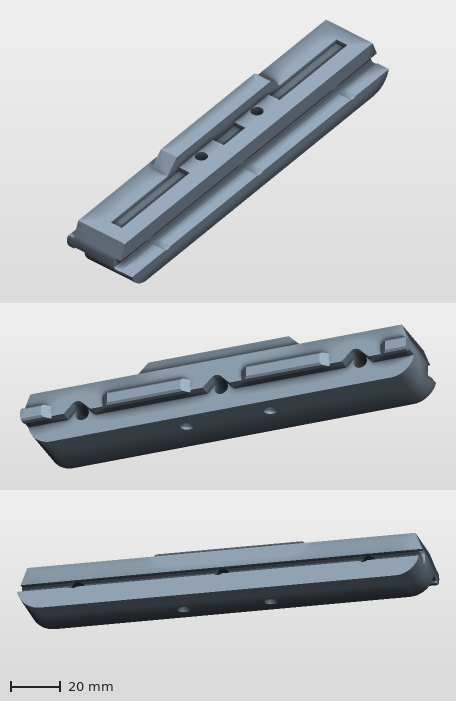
import cadquery as cq
import math

LENGTH = 166.5
HALF_LENGTH = LENGTH / 2
TOP_Z = 20.0
END_RADIUS = 10.0
END_TOP_INSET = 3.2
END_EDGE_Z = 14.3

WIDTH = 33.0
TAB_REACH = 3.2
BODY_LEFT = TAB_REACH
BODY_RIGHT = 27.0
STEP_RIGHT = 8.7
STEP_Z = 8.3
SHELF_Z = 7.7

TAB_BOTTOM_Z = 7.2
TAB_TOP_Z = 12.8
TAB_CHAMFER = 0.8
TAB_GAP = 22.0

BORE_DIAMETER = 5.8
BORE_Z = 10.0
BORE_PITCH = 60.0
BORE_CENTERS = [-BORE_PITCH, 0.0, BORE_PITCH]

RIDGE_LEFT = 6.0
RIDGE_RIGHT = 14.1
RIDGE_HEIGHT = 6.0
RIDGE_TOP_LENGTH = 60.6

HOLE_DIAMETER = 5.3
HOLE_X = 17.0
HOLE_Y = 18.0
SLOT_GAP = 22.0
SLOT_LEFT = RIDGE_RIGHT
SLOT_RIGHT = 19.8
SLOT_DEPTH = 2.5
SLOT_FLOOR_RIGHT = SLOT_RIGHT - SLOT_DEPTH
SLOT_FLOOR_CHAMFER = 0.42
LONG_SLOT_LENGTH = 44.0


def prism_along_x(outline, x_start, x_end):
    """Extrude a closed (y, z) outline from x_start to x_end."""
    plane = cq.Workplane("YZ", origin=(x_start, 0, 0))
    return plane.polyline(outline).close().extrude(x_end - x_start)


def prism_along_y(outline, y_start, y_end):
    """Extrude a closed (x, z) outline from y_start to y_end."""
    plane = cq.Workplane("XZ", origin=(0, y_end, 0))
    return plane.polyline(outline).close().extrude(y_end - y_start)


def side_profile():
    """Full-width bar with rounded lower ends and sloped upper ends."""
    arc_center_y = HALF_LENGTH - END_RADIUS
    edge_rise = END_EDGE_Z - END_RADIUS
    edge_y = arc_center_y + math.sqrt(END_RADIUS**2 - edge_rise**2)
    top_y = HALF_LENGTH - END_TOP_INSET
    return (
        cq.Workplane("YZ")
        .moveTo(-arc_center_y, 0)
        .lineTo(arc_center_y, 0)
        .threePointArc((HALF_LENGTH, END_RADIUS), (edge_y, END_EDGE_Z))
        .lineTo(top_y, TOP_Z)
        .lineTo(-top_y, TOP_Z)
        .lineTo(-edge_y, END_EDGE_Z)
        .threePointArc((-HALF_LENGTH, END_RADIUS), (-arc_center_y, 0))
        .close()
        .extrude(WIDTH)
    )


def tab_section(x_tip):
    """Tab outline in (x, z), chamfered at the tip; also the shape of the groove."""
    x_base = x_tip + TAB_REACH
    return [
        (x_base, TAB_BOTTOM_Z),
        (x_base, TAB_TOP_Z),
        (x_tip + TAB_CHAMFER, TAB_TOP_Z),
        (x_tip, TAB_TOP_Z - TAB_CHAMFER),
        (x_tip, TAB_BOTTOM_Z + TAB_CHAMFER),
        (x_tip + TAB_CHAMFER, TAB_BOTTOM_Z),
    ]


def body():
    """Stepped cross-section running the whole length."""
    section = [
        (STEP_RIGHT, 0),
        (WIDTH, 0),
        (WIDTH, SHELF_Z),
        (BODY_RIGHT, SHELF_Z),
        (BODY_RIGHT, TOP_Z),
        (BODY_LEFT, TOP_Z),
        (BODY_LEFT, STEP_Z),
        (STEP_RIGHT, STEP_Z),
    ]
    groove = prism_along_y(tab_section(BODY_RIGHT - TAB_REACH), -HALF_LENGTH, HALF_LENGTH)
    return prism_along_y(section, -HALF_LENGTH, HALF_LENGTH).cut(groove)


def tabs():
    """Continuous rail, broken at each bore by a gap with 45 degree ends."""
    rail = prism_along_y(tab_section(0), -HALF_LENGTH, HALF_LENGTH)
    half_base_gap = TAB_GAP / 2
    half_tip_gap = half_base_gap + TAB_REACH
    for y in BORE_CENTERS:
        gap = (
            cq.Workplane("XY")
            .polyline([
                (0, y - half_tip_gap),
                (TAB_REACH, y - half_base_gap),
                (TAB_REACH, y + half_base_gap),
                (0, y + half_tip_gap),
            ])
            .close()
            .extrude(TOP_Z)
        )
        rail = rail.cut(gap)
    return rail


def bore_cuts():
    """Cross bores, each with a 45 degree flared notch over the lower step."""
    radius = BORE_DIAMETER / 2
    tangent = radius * math.sin(math.radians(45))
    flare = tangent + (BORE_Z + tangent - STEP_Z)
    centers = [(y, BORE_Z) for y in BORE_CENTERS]
    cuts = cq.Workplane("YZ").pushPoints(centers).circle(radius).extrude(WIDTH)
    for y in BORE_CENTERS:
        notch = [
            (y - flare, STEP_Z),
            (y + flare, STEP_Z),
            (y + tangent, BORE_Z + tangent),
            (y - tangent, BORE_Z + tangent),
        ]
        cuts = cuts.union(prism_along_x(notch, BODY_LEFT, STEP_RIGHT))
    return cuts


def ridge():
    """Raised bar with 45 degree ramps at both ends."""
    half_top = RIDGE_TOP_LENGTH / 2
    half_base = half_top + RIDGE_HEIGHT
    outline = [
        (-half_base, TOP_Z),
        (half_base, TOP_Z),
        (half_top, TOP_Z + RIDGE_HEIGHT),
        (-half_top, TOP_Z + RIDGE_HEIGHT),
    ]
    return prism_along_x(outline, RIDGE_LEFT, RIDGE_RIGHT)


def slot_cuts():
    """Three slots with a chamfered floor and one sloped side, in line with the holes."""
    section = [
        (SLOT_LEFT, TOP_Z),
        (SLOT_RIGHT, TOP_Z),
        (SLOT_FLOOR_RIGHT, TOP_Z - SLOT_DEPTH),
        (SLOT_LEFT, TOP_Z - SLOT_DEPTH),
    ]
    inner = HOLE_Y - SLOT_GAP / 2
    outer_start = HOLE_Y + SLOT_GAP / 2
    outer_end = outer_start + LONG_SLOT_LENGTH
    cuts = cq.Workplane("XY")
    for y_start, y_end in [(-outer_end, -outer_start), (-inner, inner), (outer_start, outer_end)]:
        slot = prism_along_y(section, y_start, y_end)
        cuts = cuts.add(slot.faces("<Z").edges().chamfer(SLOT_FLOOR_CHAMFER))
    return cuts.combine()


def vertical_holes():
    """Two through holes on the slot line, between the slots."""
    centers = [(HOLE_X, -HOLE_Y), (HOLE_X, HOLE_Y)]
    return cq.Workplane("XY").pushPoints(centers).circle(HOLE_DIAMETER / 2).extrude(TOP_Z)


result = body().union(tabs()).intersect(side_profile())
result = result.union(ridge())
result = result.cut(bore_cuts()).cut(slot_cuts()).cut(vertical_holes())